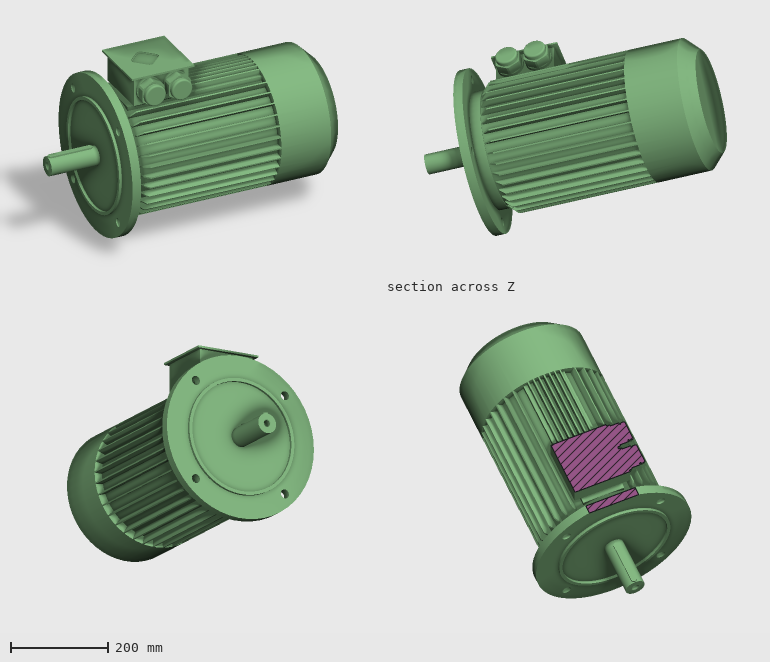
import cadquery as cq
import math


joint_overlap = 6.0

length = 613.0
hood_shoulder_y = 582.5
hood_front_y = 468.5
collar_back_y = 152.5
flange_back_y = 130.0
flange_front_y = 110.5
spigot_front_y = 104.0

hood_radius = 280.0 / 2
hood_taper = length - hood_shoulder_y
core_radius = 245.0 / 2
collar_radius = 250.0 / 2
flange_radius = 350.0 / 2
recess_radius = 236.0 / 2

bolt_hole_diameter = 19.0
bolt_circle_diameter = 300.0
bolt_count = 4
first_bolt_angle = 45

shaft_radius = 42.0 / 2
key_width = 12.0
key_top_z = 24.0
key_front_y = 1.0
key_back_y = 102.5
centre_hole_radius = 14.0 / 2
centre_hole_depth = 18.5
centre_hole_chamfer = 1.0
drill_point_angle = 120.0

fin_thickness = 3.0
fin_root_radius = core_radius - joint_overlap
fin_front_y = 155.0
fin_chamfer = 15.0
fin_angle_step = 10
first_fin_angle = 30

pad_half_width = 46.0
pad_top_z = 123.0
pad_front_y = 161.0
upright_fins_per_side = 3
upright_fin_row_width = 72.0
upright_fin_pitch = upright_fin_row_width / (2 * upright_fins_per_side)
upright_fin_foot_y = 296.5
upright_fin_tip_y = 309.0

lid_side = 143.0
lid_front_y = 159.5
box_y = lid_front_y + lid_side / 2
box_side = 125.0
box_bottom_z = 128.0
box_bottom_chamfer = 3.5
pedestal_length = 95.5
lid_thickness = 4.0
overall_height = 376.0
lid_top_z = overall_height - flange_radius

badge_y = 224.0
badge_side = 49.5
badge_corner_radius = 10.0
badge_step = 2.5
badge_step_depth = 2.0
badge_depth = 3.0

gland_spacing = 60.5
gland_z = 165.5
gland_radius = 56.5 / 2
gland_hex_flats = 51.0
gland_hex_start_x = 69.0
gland_hex_end_x = 88.0
gland_neck_radius = 42.0 / 2
gland_cap_radius = 47.0 / 2
gland_cap_start_x = 90.0
gland_cap_end_x = 100.5
gland_cap_fillet = 3.5


def revolve_about_shaft(outline):
    """Closed (radius, y) outline turned about the shaft axis."""
    return cq.Workplane("XY").polyline(outline).close().revolve(360, (0, 0, 0), (0, 1, 0))


def block(x_range, y_range, z_range):
    """Box spanning the given (low, high) ranges."""
    sizes = [high - low for low, high in (x_range, y_range, z_range)]
    corner = (x_range[0], y_range[0], z_range[0])
    return cq.Workplane("XY").box(*sizes, centered=False).translate(corner)


def make_round_body():
    return revolve_about_shaft([
        (0, 0),
        (shaft_radius, 0),
        (shaft_radius, flange_front_y),
        (recess_radius, flange_front_y),
        (recess_radius, spigot_front_y),
        (collar_radius, spigot_front_y),
        (collar_radius, flange_front_y),
        (flange_radius, flange_front_y),
        (flange_radius, flange_back_y),
        (collar_radius, flange_back_y),
        (collar_radius, collar_back_y),
        (core_radius, collar_back_y),
        (core_radius, hood_front_y),
        (hood_radius, hood_front_y),
        (hood_radius, hood_shoulder_y),
        (hood_radius - hood_taper, length),
        (0, length),
    ])


def make_radial_fins():
    fin = (
        cq.Workplane("XY")
        .polyline([
            (fin_root_radius, fin_front_y),
            (hood_radius - fin_chamfer, fin_front_y),
            (hood_radius, fin_front_y + fin_chamfer),
            (hood_radius, hood_front_y),
            (fin_root_radius, hood_front_y),
        ])
        .close()
        .extrude(fin_thickness / 2, both=True)
    )
    fins = cq.Workplane("XY")
    for angle in range(first_fin_angle, 361 - first_fin_angle, fin_angle_step):
        fins = fins.add(fin.rotate((0, 0, 0), (0, 1, 0), angle - 90))
    return fins.combine()


def make_upright_fins():
    fin = (
        cq.Workplane("YZ")
        .polyline([
            (upright_fin_foot_y, fin_root_radius),
            (upright_fin_foot_y, pad_top_z),
            (upright_fin_tip_y, hood_radius),
            (hood_front_y, hood_radius),
            (hood_front_y, fin_root_radius),
        ])
        .close()
        .extrude(fin_thickness / 2, both=True)
    )
    fins = cq.Workplane("XY")
    for i in range(-upright_fins_per_side, upright_fins_per_side + 1):
        fins = fins.add(fin.translate((i * upright_fin_pitch, 0, 0)))
    envelope = cq.Workplane("XZ").circle(hood_radius).extrude(-length)
    return fins.combine().intersect(envelope)


def make_pad():
    sides = (-pad_half_width, pad_half_width)
    return block(sides, (pad_front_y, hood_front_y), (0, pad_top_z))


def make_badge_recess():
    def diamond(side, corner_radius, depth):
        return (
            cq.Workplane("XY")
            .rect(side, side)
            .extrude(-depth)
            .edges("|Z")
            .fillet(corner_radius)
            .rotate((0, 0, 0), (0, 0, 1), 45)
        )

    inner_side = badge_side - 2 * badge_step
    rim = diamond(badge_side, badge_corner_radius, badge_step_depth)
    floor = diamond(inner_side, badge_corner_radius - badge_step, badge_depth)
    return rim.union(floor).translate((0, badge_y, lid_top_z))


def make_terminal_box():
    lid_bottom_z = lid_top_z - lid_thickness
    pedestal_y = (box_y - pedestal_length / 2, box_y + pedestal_length / 2)
    pedestal = block((-pad_half_width, pad_half_width), pedestal_y, (0, box_bottom_z))
    body = (
        cq.Workplane("XY", origin=(0, box_y, box_bottom_z))
        .rect(box_side, box_side)
        .extrude(lid_bottom_z - box_bottom_z)
        .faces("<Z")
        .chamfer(box_bottom_chamfer)
    )
    lid = (
        cq.Workplane("XY", origin=(0, box_y, lid_bottom_z))
        .rect(lid_side, lid_side)
        .extrude(lid_thickness)
    )
    return pedestal.union(body).union(lid).cut(make_badge_recess())


def make_gland():
    """Gland centred on the X axis: round foot, hexagon with rounded corners, neck, round cap."""
    foot_start_x = box_side / 2 - joint_overlap
    hex_length = gland_hex_end_x - gland_hex_start_x
    hex_plane = cq.Workplane("YZ", origin=(gland_hex_start_x, 0, 0))
    foot = (
        cq.Workplane("YZ", origin=(foot_start_x, 0, 0))
        .circle(gland_radius)
        .extrude(gland_hex_start_x - foot_start_x)
    )
    hexagon = (
        hex_plane.polygon(6, gland_hex_flats / math.cos(math.pi / 6))
        .extrude(hex_length)
        .rotate((0, 0, 0), (1, 0, 0), 30)
        .intersect(hex_plane.circle(gland_radius).extrude(hex_length))
    )
    neck = (
        cq.Workplane("YZ", origin=(gland_hex_end_x, 0, 0))
        .circle(gland_neck_radius)
        .extrude(gland_cap_start_x - gland_hex_end_x)
    )
    cap = (
        cq.Workplane("YZ", origin=(gland_cap_start_x, 0, 0))
        .circle(gland_cap_radius)
        .extrude(gland_cap_end_x - gland_cap_start_x)
        .faces(">X")
        .edges()
        .fillet(gland_cap_fillet)
    )
    return foot.union(hexagon).union(neck).union(cap)


def make_key():
    key_length = key_back_y - key_front_y
    return (
        cq.Workplane("XY", origin=(0, (key_front_y + key_back_y) / 2, 0))
        .slot2D(key_length, key_width, 90)
        .extrude(key_top_z)
    )


def make_centre_hole():
    point_depth = centre_hole_radius / math.tan(math.radians(drill_point_angle / 2))
    return revolve_about_shaft([
        (0, 0),
        (centre_hole_radius + centre_hole_chamfer, 0),
        (centre_hole_radius, centre_hole_chamfer),
        (centre_hole_radius, centre_hole_depth),
        (0, centre_hole_depth + point_depth),
    ])


def make_bolt_holes():
    return (
        cq.Workplane("XZ", origin=(0, flange_front_y, 0))
        .polarArray(bolt_circle_diameter / 2, first_bolt_angle, 360, bolt_count)
        .circle(bolt_hole_diameter / 2)
        .extrude(flange_front_y - flange_back_y)
    )


result = make_round_body().union(make_pad())
result = result.union(make_radial_fins()).union(make_upright_fins())
result = result.union(make_terminal_box()).union(make_key())
for side in (-1, 1):
    gland_y = box_y + side * gland_spacing / 2
    result = result.union(make_gland().translate((0, gland_y, gland_z)))
result = result.cut(make_bolt_holes()).cut(make_centre_hole())